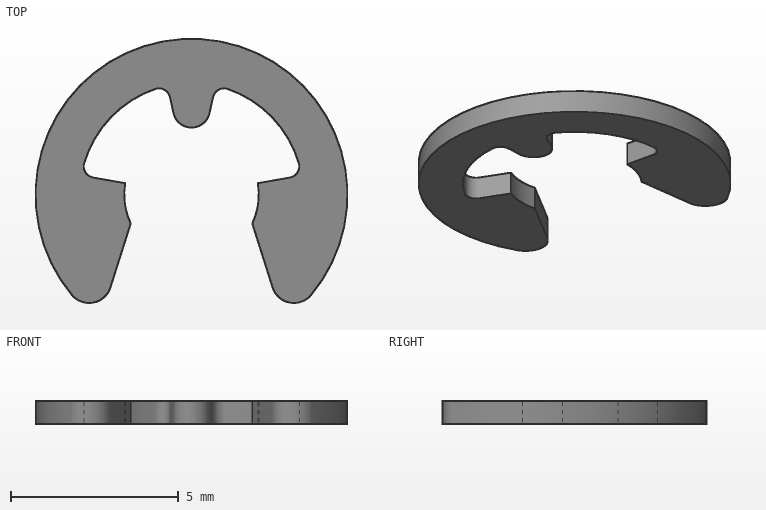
import cadquery as cq
import math

OUTER_RADIUS = 4.65
SEAT_RADIUS = 2.0
WINDOW_RADIUS = 3.33
WINDOW_FILLET = 0.335
THICKNESS = 0.7
DEPTH_Y = 7.88
LEG_TIP_RADIUS = 0.67
SEAT_TOP_ANGLE = 10.0
SEAT_BOTTOM_ANGLE = -25.3
PRONG_HALF_ANGLE = 12.5


def polar(radius, degrees, center=(0, 0)):
    angle = math.radians(degrees)
    return (center[0] + radius * math.cos(angle), center[1] + radius * math.sin(angle))


def mirrored(point):
    return (-point[0], point[1])


tip_y = OUTER_RADIUS - DEPTH_Y + LEG_TIP_RADIUS
tip_x = math.sqrt((OUTER_RADIUS - LEG_TIP_RADIUS) ** 2 - tip_y ** 2)
tip_center = (tip_x, tip_y)
leg_angle = math.degrees(math.atan2(tip_y, tip_x))
leg_outer = polar(OUTER_RADIUS, leg_angle)
leg_bottom = polar(LEG_TIP_RADIUS, -90, tip_center)

seat_bottom = polar(SEAT_RADIUS, SEAT_BOTTOM_ANGLE)
to_seat_x = seat_bottom[0] - tip_x
to_seat_y = seat_bottom[1] - tip_y
to_seat_angle = math.degrees(math.atan2(to_seat_y, to_seat_x))
tangent_offset = math.degrees(math.acos(LEG_TIP_RADIUS / math.hypot(to_seat_x, to_seat_y)))
leg_inner = polar(LEG_TIP_RADIUS, to_seat_angle + tangent_offset, tip_center)

seat_top = polar(SEAT_RADIUS, SEAT_TOP_ANGLE)
seat_middle = polar(SEAT_RADIUS, (SEAT_TOP_ANGLE + SEAT_BOTTOM_ANGLE) / 2)

prong_sine = math.sin(math.radians(PRONG_HALF_ANGLE))
prong_center_y = SEAT_RADIUS / (1 - prong_sine)
prong_side_radius = prong_center_y * math.cos(math.radians(PRONG_HALF_ANGLE))
prong_angle = 90 - PRONG_HALF_ANGLE
prong_tip_side = polar(prong_side_radius, prong_angle)

window_low = polar(WINDOW_RADIUS, SEAT_TOP_ANGLE)
window_middle = polar(WINDOW_RADIUS, (SEAT_TOP_ANGLE + prong_angle) / 2)
window_high = polar(WINDOW_RADIUS, prong_angle)

ring = (
    cq.Workplane("XY")
    .moveTo(*leg_outer)
    .threePointArc((0, OUTER_RADIUS), mirrored(leg_outer))
    .threePointArc(mirrored(leg_bottom), mirrored(leg_inner))
    .lineTo(*mirrored(seat_bottom))
    .threePointArc(mirrored(seat_middle), mirrored(seat_top))
    .lineTo(*mirrored(window_low))
    .threePointArc(mirrored(window_middle), mirrored(window_high))
    .lineTo(*mirrored(prong_tip_side))
    .threePointArc((0, SEAT_RADIUS), prong_tip_side)
    .lineTo(*window_high)
    .threePointArc(window_middle, window_low)
    .lineTo(*seat_top)
    .threePointArc(seat_middle, seat_bottom)
    .lineTo(*leg_inner)
    .threePointArc(leg_bottom, leg_outer)
    .close()
    .extrude(THICKNESS)
)


def window_corner_edges(solid):
    """Select the upright edges at the four outer corners of the windows."""
    edges = solid.edges("|Z")
    return edges.filter(
        lambda edge: math.isclose(
            math.hypot(edge.Center().x, edge.Center().y), WINDOW_RADIUS, abs_tol=0.001
        )
    )


result = window_corner_edges(ring).fillet(WINDOW_FILLET)